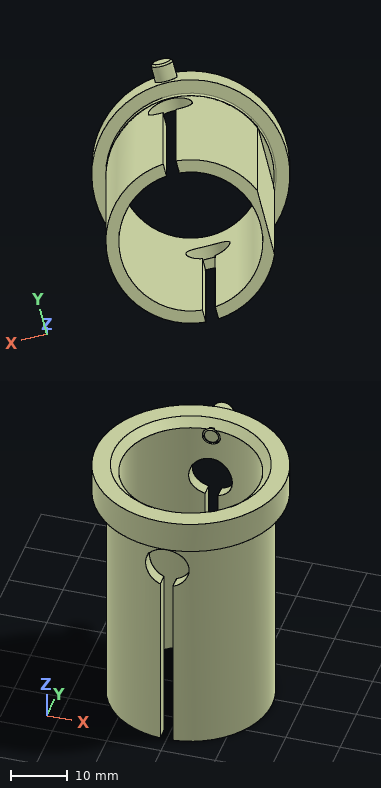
import cadquery as cq

height = 50.0
flange_diameter = 35.0
flange_height = 6.0
body_diameter = 30.0
bore_diameter = 25.4
bore_chamfer = 1.5

undercut_depth = 0.3
undercut_height = 1.45
undercut_run_out = 0.55
undercut_fillet = 0.35

flat_distance = 13.7
flat_gap = 0.35

relief_hole_diameter = 8.0
relief_hole_drop = 12.0
slot_width = 2.3

pin_diameter = 4.0
pin_tip_diameter = 3.3
pin_inner_tip_diameter = 2.6
pin_hole_diameter = 3.3
pin_reach = 20.7

flange_radius = flange_diameter / 2
body_radius = body_diameter / 2
bore_radius = bore_diameter / 2
flange_bottom = height - flange_height
undercut_radius = body_radius - undercut_depth
undercut_bottom = flange_bottom - undercut_height
relief_hole_z = height - relief_hole_drop
pin_z = height - flange_height / 2


def make_blank():
    """Revolve the solid flanged body, including the undercut."""
    return (
        cq.Workplane("XZ")
        .lineTo(body_radius, 0)
        .lineTo(body_radius, undercut_bottom)
        .lineTo(undercut_radius, undercut_bottom + undercut_run_out)
        .lineTo(undercut_radius, flange_bottom - undercut_fillet)
        .radiusArc((undercut_radius + undercut_fillet, flange_bottom), undercut_fillet)
        .lineTo(flange_radius, flange_bottom)
        .lineTo(flange_radius, height)
        .lineTo(0, height)
        .close()
        .revolve(360, (0, 0, 0), (0, 1, 0))
    )


def make_flat_cutter():
    """Block that removes the body beyond the flat, ending just below the flange."""
    return cq.Workplane("XY").box(
        flange_radius, flange_diameter, flange_bottom - flat_gap, centered=(False, True, False)
    ).translate((-flat_distance - flange_radius, 0, 0))


def make_bore_cutter():
    """Through bore with a conical lead-in at the top."""
    return (
        cq.Workplane("XY")
        .circle(bore_radius)
        .extrude(height)
        .union(
            cq.Workplane("XY", origin=(0, 0, height))
            .circle(bore_radius + bore_chamfer)
            .extrude(-bore_chamfer, taper=45)
        )
    )


def make_slot_cutter():
    """Keyhole running along Y: a relief hole with a slot open at the bottom."""
    relief_hole = (
        cq.Workplane("XZ")
        .center(0, relief_hole_z)
        .circle(relief_hole_diameter / 2)
        .extrude(flange_radius, both=True)
    )
    slot = cq.Workplane("XY").box(
        slot_width, flange_diameter, relief_hole_z, centered=(True, True, False)
    )
    return relief_hole.union(slot)


def make_radial_cylinder(diameter, start, end):
    """Cylinder at the pin height along +Y between two distances from the axis."""
    return (
        cq.Workplane("XZ", origin=(0, start, pin_z))
        .circle(diameter / 2)
        .extrude(start - end)
    )


def make_pin():
    """Pin starting at the bore wall, chamfered at both ends."""
    return (
        make_radial_cylinder(pin_diameter, bore_radius, pin_reach)
        .faces(">Y")
        .chamfer((pin_diameter - pin_tip_diameter) / 2)
        .faces("<Y")
        .chamfer((pin_diameter - pin_inner_tip_diameter) / 2)
    )


sleeve = make_blank().cut(make_flat_cutter()).cut(make_bore_cutter()).cut(make_slot_cutter())

pin_hole = make_radial_cylinder(pin_hole_diameter, 0, flange_radius)
result = sleeve.cut(pin_hole).union(make_pin())